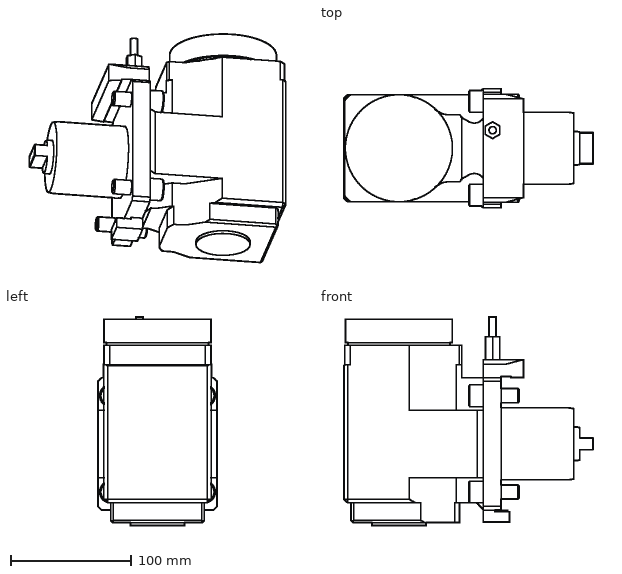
import cadquery as cq
import math


HALF_WIDTH = 44.5
HOUSING_LEFT = -45.7
HOUSING_TOP = 65.5
HOUSING_BOTTOM = -49.0
HOUSING_CHAMFER = 3.0
SHOULDER_TOP = 55.0
HEAD_RIGHT = 52.2
HALF_ARM = 28.0
SIDE_FLARE = 5.0
BASE_FLARE = 5.5

PLATE_LEFT = -45.0
PLATE_TOP = 82.0
PLATE_TURN_RADIUS = 60.0
PLATE_END_CHAMFER = 2.0

FOOT_LEFT = -40.0
FOOT_RIGHT = 50.5
FOOT_BOTTOM = -65.5
FOOT_HALF_WIDTH = 39.0
FOOT_TURN_RADIUS = 54.2
FOOT_BASE_CHAMFER = 2.0

WAIST_START = 8.5
HALF_WAIST = 28.0
WAIST_SLOPE = math.radians(30)
WAIST_BLEND_RADIUS = 10.0
NECK_START = 47.8
CLEARANCE_START = 58.0
CLEARANCE_RADIUS = 9.0

DISC_DIAMETER = 89.0
DISC_TOP = 103.5
DISC_HEIGHT = 19.5
DISC_NECK_DIAMETER = 85.0
BASE_BOSS_DIAMETER = 45.0
BASE_BOSS_BOTTOM = -68.0

FLANGE_LEFT = 70.0
FLANGE_THICKNESS = 15.0
FLANGE_RIGHT = FLANGE_LEFT + FLANGE_THICKNESS
FLANGE_HALF_WIDTH = HALF_WIDTH + SIDE_FLARE
FLANGE_HALF_HEIGHT = 55.0
FLANGE_CHAMFER = 3.0
SCREW_Y = 39.0
SCREW_Z = 40.0
SCREW_DIAMETER = 12.0
SCREW_LENGTH = 30.0
SCREW_TIP_CHAMFER = 1.2
SCREW_HEAD_DIAMETER = 18.0
SCREW_HEAD_HEIGHT = 12.0
SCREW_HEAD_CHAMFER = 1.0

BRACKET_RIGHT = 103.5
BRACKET_TOP = 70.0
BRACKET_HALF_WIDTH = 45.0
BRACKET_TOP_HALF_WIDTH = 41.0
BRACKET_BEVEL_BASE = 66.0
BRACKET_TAPER_START = 88.3
BRACKET_GROOVE_WIDTH = 8.0
BRACKET_GROOVE_DEPTH = 0.8

LOWER_BRACKET_RIGHT = 92.0
LOWER_BRACKET_BOTTOM = -65.0
LOWER_BRACKET_HALF_WIDTH = 12.5
LOWER_STEP_START = 79.7
LOWER_STEP_DEPTH = 1.3
LIP_START = 86.0
LIP_END = 90.5
LIP_HALF_WIDTH = 10.0

GLAND_X = 77.8
GLAND_Y = 15.0
GLAND_ACROSS_FLATS = 12.0
GLAND_TOP = 89.0
GLAND_PIN_DIAMETER = 6.0
GLAND_PIN_TOP = 105.5

SHANK_DIAMETER = 60.0
SHANK_END = 145.3
SHANK_TAPER_LENGTH = 4.0
SHANK_TAPER_DEPTH = 0.7
JOURNAL_DIAMETER = 28.0
JOURNAL_END = 150.3
JOURNAL_TAPER_LENGTH = 2.0
TANG_DIAMETER = 27.0
TANG_THICKNESS = 10.0
TANG_END = 161.3
TANG_CHAMFER = 0.5


def block(x_range, half_width, z_range):
    """Box centred on Y = 0."""
    length = x_range[1] - x_range[0]
    height = z_range[1] - z_range[0]
    box = cq.Workplane("XY").box(length, 2 * half_width, height, centered=(False, True, False))
    return box.translate((x_range[0], 0, z_range[0]))


def upright_cylinder(diameter, bottom, top, x=0.0, y=0.0):
    return cq.Workplane("XY", origin=(x, y, bottom)).circle(diameter / 2).extrude(top - bottom)


def axial_cylinder(diameter, start, end, y=0.0, z=0.0):
    """Cylinder along X."""
    return cq.Workplane("YZ", origin=(start, y, z)).circle(diameter / 2).extrude(end - start)


def both_sides(shape):
    return shape.union(shape.mirror("XZ"))


def waist_start_outline():
    """Shared sloping start of the waist, blended into the straight waist."""
    corner_x = WAIST_START + (HALF_WIDTH - HALF_WAIST) / math.tan(WAIST_SLOPE)
    tangent = WAIST_BLEND_RADIUS * math.tan(WAIST_SLOPE / 2)
    half_slope = WAIST_SLOPE / 2
    blend_end_x = corner_x + tangent
    blend_start = (
        corner_x - tangent * math.cos(WAIST_SLOPE),
        HALF_WAIST + tangent * math.sin(WAIST_SLOPE),
    )
    blend_middle = (
        blend_end_x - WAIST_BLEND_RADIUS * math.sin(half_slope),
        HALF_WAIST + WAIST_BLEND_RADIUS * (1 - math.cos(half_slope)),
    )
    return (
        cq.Workplane("XY")
        .moveTo(WAIST_START, HALF_WIDTH)
        .lineTo(*blend_start)
        .threePointArc(blend_middle, (blend_end_x, HALF_WAIST))
    )


def waist_cutter(outline, end_x, z_range):
    """Close the +Y outline outside the housing, extrude it and mirror it."""
    cutter = outline.lineTo(end_x, HALF_WIDTH).close().extrude(z_range[1] - z_range[0])
    return both_sides(cutter.translate((0, 0, z_range[0])))


def straight_waist_outline(end_x):
    return waist_start_outline().lineTo(end_x, HALF_WAIST)


def chamfered_waist_outline(end_x, chamfer):
    """Straight waist with a chamfered end corner."""
    return straight_waist_outline(end_x - chamfer).lineTo(end_x, HALF_WAIST - chamfer)


def neck_waist_cutter(z_range):
    """Waist that tapers again and hollows out around the flange screws."""
    taper_end_y = HALF_WAIST - (CLEARANCE_START - NECK_START) * math.tan(WAIST_SLOPE)
    centre_x = CLEARANCE_START + CLEARANCE_RADIUS * math.sin(WAIST_SLOPE)
    centre_y = taper_end_y + CLEARANCE_RADIUS * math.cos(WAIST_SLOPE)
    arc_end_y = centre_y - math.sqrt(CLEARANCE_RADIUS**2 - (FLANGE_LEFT - centre_x) ** 2)
    outline = (
        waist_start_outline()
        .lineTo(NECK_START, HALF_WAIST)
        .lineTo(CLEARANCE_START, taper_end_y)
        .threePointArc((centre_x, centre_y - CLEARANCE_RADIUS), (FLANGE_LEFT, arc_end_y))
    )
    return waist_cutter(outline, FLANGE_LEFT, z_range)


def make_housing():
    body = block((HOUSING_LEFT, FLANGE_LEFT), HALF_WIDTH, (HOUSING_BOTTOM, HOUSING_TOP))
    body = body.edges("(<X and |Z) or (<Z and (|X or <X))").chamfer(HOUSING_CHAMFER)
    body = body.faces(">Z").edges("<X").chamfer(PLATE_LEFT - HOUSING_LEFT)
    body = body.cut(block((HEAD_RIGHT, FLANGE_LEFT), HALF_WIDTH, (SHOULDER_TOP, HOUSING_TOP)))

    base_flare = (
        cq.Workplane("XZ")
        .moveTo(FLANGE_LEFT - BASE_FLARE, HOUSING_BOTTOM)
        .lineTo(FLANGE_LEFT, HOUSING_BOTTOM - BASE_FLARE)
        .lineTo(FLANGE_LEFT, HOUSING_BOTTOM)
        .close()
        .extrude(HALF_WAIST, both=True)
    )
    body = body.union(base_flare)
    body = body.cut(neck_waist_cutter((HALF_ARM, HOUSING_TOP)))
    body = body.cut(neck_waist_cutter((HOUSING_BOTTOM - BASE_FLARE, -HALF_ARM)))

    side_flare = (
        cq.Workplane("XY", origin=(0, 0, -HALF_ARM))
        .moveTo(FLANGE_LEFT - SIDE_FLARE, HALF_WIDTH)
        .lineTo(FLANGE_LEFT, HALF_WIDTH + SIDE_FLARE)
        .lineTo(FLANGE_LEFT, HALF_WIDTH)
        .close()
        .extrude(2 * HALF_ARM)
    )
    return body.union(both_sides(side_flare))


def make_top_plate():
    z_range = (HOUSING_TOP, PLATE_TOP)
    plate = block((PLATE_LEFT, HEAD_RIGHT), HALF_WIDTH, z_range)
    plate = plate.intersect(upright_cylinder(2 * PLATE_TURN_RADIUS, *z_range))
    waist_outline = chamfered_waist_outline(HEAD_RIGHT, PLATE_END_CHAMFER)
    return plate.cut(waist_cutter(waist_outline, HEAD_RIGHT, z_range))


def make_foot():
    z_range = (FOOT_BOTTOM, HOUSING_BOTTOM)
    foot = block((FOOT_LEFT, FOOT_RIGHT), FOOT_HALF_WIDTH, z_range)
    foot = foot.faces("<Z").edges("not >X").chamfer(FOOT_BASE_CHAMFER)
    foot = foot.intersect(upright_cylinder(2 * FOOT_TURN_RADIUS, *z_range))
    return foot.cut(waist_cutter(straight_waist_outline(FOOT_RIGHT), FOOT_RIGHT, z_range))


def make_turret():
    disc_bottom = DISC_TOP - DISC_HEIGHT
    disc = upright_cylinder(DISC_DIAMETER, disc_bottom, DISC_TOP)
    neck = upright_cylinder(DISC_NECK_DIAMETER, PLATE_TOP, disc_bottom)
    boss = upright_cylinder(BASE_BOSS_DIAMETER, BASE_BOSS_BOTTOM, FOOT_BOTTOM)
    return disc, neck, boss


def make_flange():
    flange = block(
        (FLANGE_LEFT, FLANGE_RIGHT), FLANGE_HALF_WIDTH, (-FLANGE_HALF_HEIGHT, FLANGE_HALF_HEIGHT)
    )
    return flange.edges("|X").chamfer(FLANGE_CHAMFER)


def make_screw(y, z):
    head = axial_cylinder(SCREW_HEAD_DIAMETER, FLANGE_LEFT - SCREW_HEAD_HEIGHT, FLANGE_LEFT, y, z)
    head = head.faces("<X").chamfer(SCREW_HEAD_CHAMFER)
    shaft = axial_cylinder(SCREW_DIAMETER, FLANGE_LEFT, FLANGE_LEFT + SCREW_LENGTH, y, z)
    return head.union(shaft.faces(">X").chamfer(SCREW_TIP_CHAMFER))


def make_upper_bracket():
    bevel_section = (
        cq.Workplane("YZ", origin=(FLANGE_LEFT, 0, 0))
        .polyline([
            (-BRACKET_HALF_WIDTH, FLANGE_HALF_HEIGHT),
            (BRACKET_HALF_WIDTH, FLANGE_HALF_HEIGHT),
            (BRACKET_HALF_WIDTH, BRACKET_BEVEL_BASE),
            (BRACKET_TOP_HALF_WIDTH, BRACKET_TOP),
            (-BRACKET_TOP_HALF_WIDTH, BRACKET_TOP),
            (-BRACKET_HALF_WIDTH, BRACKET_BEVEL_BASE),
        ])
        .close()
        .extrude(BRACKET_RIGHT - FLANGE_LEFT)
    )
    tapered_plan = (
        cq.Workplane("XY", origin=(0, 0, FLANGE_HALF_HEIGHT))
        .polyline([
            (FLANGE_LEFT, -BRACKET_HALF_WIDTH),
            (BRACKET_TAPER_START, -BRACKET_HALF_WIDTH),
            (BRACKET_RIGHT, -BRACKET_TOP_HALF_WIDTH),
            (BRACKET_RIGHT, BRACKET_TOP_HALF_WIDTH),
            (BRACKET_TAPER_START, BRACKET_HALF_WIDTH),
            (FLANGE_LEFT, BRACKET_HALF_WIDTH),
        ])
        .close()
        .extrude(BRACKET_TOP - FLANGE_HALF_HEIGHT)
    )
    groove = block(
        (FLANGE_RIGHT, FLANGE_RIGHT + BRACKET_GROOVE_WIDTH),
        BRACKET_HALF_WIDTH,
        (FLANGE_HALF_HEIGHT, FLANGE_HALF_HEIGHT + BRACKET_GROOVE_DEPTH),
    )
    return bevel_section.intersect(tapered_plan).cut(groove)


def make_lower_bracket():
    step_z = -FLANGE_HALF_HEIGHT - LOWER_STEP_DEPTH
    root = block(
        (FLANGE_LEFT, LOWER_STEP_START),
        LOWER_BRACKET_HALF_WIDTH,
        (LOWER_BRACKET_BOTTOM, -FLANGE_HALF_HEIGHT),
    )
    shelf = block(
        (LOWER_STEP_START, LOWER_BRACKET_RIGHT),
        LOWER_BRACKET_HALF_WIDTH,
        (LOWER_BRACKET_BOTTOM, step_z),
    )
    lip = block((LIP_START, LIP_END), LIP_HALF_WIDTH, (step_z, -FLANGE_HALF_HEIGHT))
    return root.union(shelf).union(lip)


def make_gland():
    across_corners = GLAND_ACROSS_FLATS / math.cos(math.radians(30))
    gland = (
        cq.Workplane("XY")
        .polygon(6, across_corners)
        .extrude(GLAND_TOP - BRACKET_TOP)
        .rotate((0, 0, 0), (0, 0, 1), 90)
        .translate((GLAND_X, GLAND_Y, BRACKET_TOP))
    )
    return gland.union(upright_cylinder(GLAND_PIN_DIAMETER, GLAND_TOP, GLAND_PIN_TOP, GLAND_X, GLAND_Y))


def make_drive():
    shank_radius = SHANK_DIAMETER / 2
    journal_radius = JOURNAL_DIAMETER / 2
    tang_radius = TANG_DIAMETER / 2
    shaft = (
        cq.Workplane("XY")
        .polyline([
            (FLANGE_RIGHT, 0),
            (FLANGE_RIGHT, shank_radius),
            (SHANK_END - SHANK_TAPER_LENGTH, shank_radius),
            (SHANK_END, shank_radius - SHANK_TAPER_DEPTH),
            (SHANK_END, journal_radius),
            (JOURNAL_END - JOURNAL_TAPER_LENGTH, journal_radius),
            (JOURNAL_END, tang_radius),
            (JOURNAL_END, 0),
        ])
        .close()
        .revolve(360, (0, 0, 0), (1, 0, 0))
    )
    tang = axial_cylinder(TANG_DIAMETER, JOURNAL_END, TANG_END)
    tang_slab = block(
        (JOURNAL_END, TANG_END), tang_radius, (-TANG_THICKNESS / 2, TANG_THICKNESS / 2)
    )
    tang = tang.intersect(tang_slab).faces(">X").chamfer(TANG_CHAMFER)
    return shaft.union(tang)


result = make_housing()
features = [make_top_plate(), make_foot(), *make_turret(), make_flange()]
features += [make_upper_bracket(), make_lower_bracket(), make_gland(), make_drive()]
features += [make_screw(y, z) for y in (-SCREW_Y, SCREW_Y) for z in (-SCREW_Z, SCREW_Z)]
for feature in features:
    result = result.union(feature)